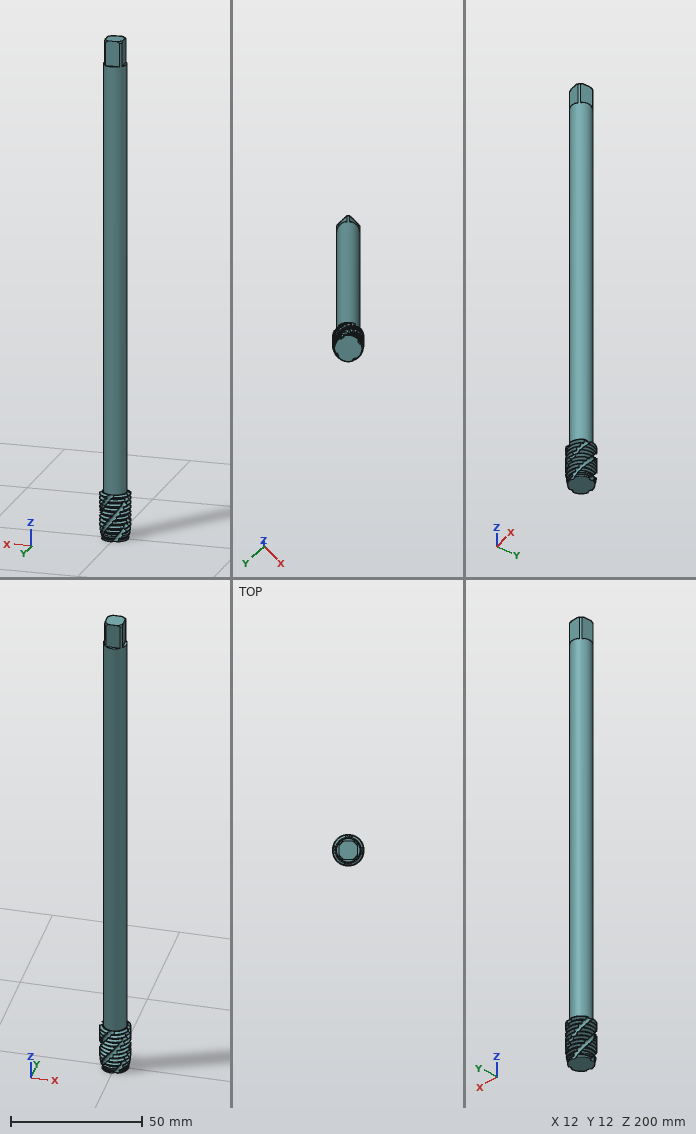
import cadquery as cq
import math

total_length = 200.0

shank_diameter = 9.0
shank_radius = shank_diameter / 2
square_width = 7.0
square_length = 10.0
tip_chamfer = 0.5

head_length = 18.5
thread_radius = 6.0
pitch = 1.75
thread_depth = 1.05
flank_angle = 30.0
crest_width = pitch / 8
ridge_count = math.ceil(head_length / pitch)
lead_length = 4.8
lead_tip_radius = 5.2

flute_count = 4
flute_radius = 1.5
flute_center_radius = 6.0
flute_lead = 40.0

root_radius = thread_radius - thread_depth
flank_height = thread_depth * math.tan(math.radians(flank_angle))


def revolved(outline):
    """Solid of revolution about Z from (radius, height) points."""
    return cq.Workplane("XZ").polyline(outline).close().revolve(360, (0, 0), (0, 1))


def threaded_blank():
    """Head before fluting: ring-shaped thread ridges trimmed by the taper of the lead."""
    ridges_outline = [(0, -pitch), (root_radius, -pitch)]
    for ridge in reversed(range(ridge_count)):
        crest_top = head_length - flank_height - ridge * pitch
        crest_bottom = crest_top - crest_width
        ridges_outline += [
            (root_radius, crest_bottom - flank_height),
            (thread_radius, crest_bottom),
            (thread_radius, crest_top),
            (root_radius, crest_top + flank_height),
        ]
    ridges_outline.append((0, head_length))

    envelope_outline = [
        (0, 0),
        (lead_tip_radius, 0),
        (thread_radius, lead_length),
        (thread_radius, head_length),
        (0, head_length),
    ]
    return revolved(ridges_outline).intersect(revolved(envelope_outline))


def flute_cutter():
    """Right-hand spiral rod that reaches the top face of the head on the -Y side."""
    twist = 360 * head_length / flute_lead
    return (
        cq.Workplane("XY")
        .moveTo(0, -flute_center_radius)
        .circle(flute_radius)
        .twistExtrude(head_length, twist)
        .rotate((0, 0, 0), (0, 0, 1), -twist)
    )


def make_head():
    """Threaded head with evenly spaced spiral flutes."""
    head = threaded_blank()
    cutter = flute_cutter()
    for flute in range(flute_count):
        head = head.cut(cutter.rotate((0, 0, 0), (0, 0, 1), flute * 360 / flute_count))
    return head.solids().val()


def make_shank():
    """Round shank standing on the head, with a chamfered square at its upper end."""
    shank = revolved(
        [
            (0, head_length),
            (shank_radius, head_length),
            (shank_radius, total_length - tip_chamfer),
            (shank_radius - tip_chamfer, total_length),
            (0, total_length),
        ]
    )
    around_square = (
        cq.Workplane("XY")
        .workplane(offset=total_length - square_length)
        .circle(2 * shank_radius)
        .rect(square_width, square_width)
        .extrude(square_length)
    )
    return shank.cut(around_square).solids().val()


head = make_head()
shank = make_shank()
result = cq.Compound.makeCompound([head, shank])